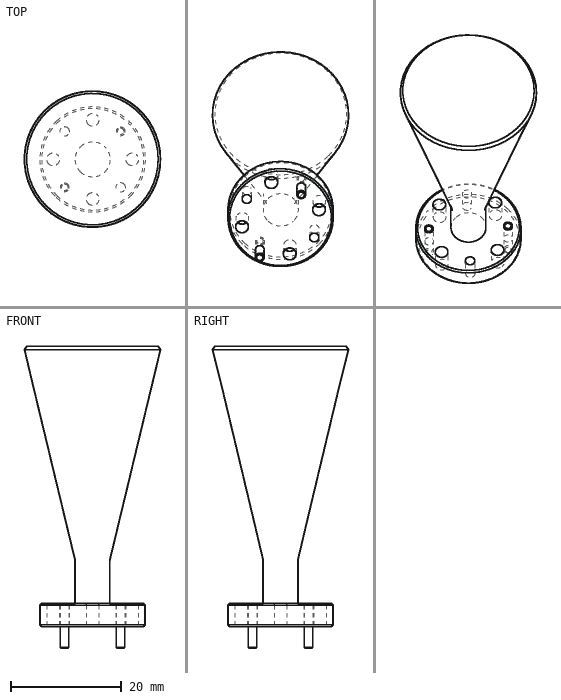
import cadquery as cq
import math

total_height = 54.65
horn_diameter = 24.65
flange_diameter = 19.1
neck_diameter = 6.35

pin_projection = 3.9
flange_thickness = 4.2
neck_length = 7.85
flange_top = pin_projection + flange_thickness
neck_top = flange_top + neck_length

flange_chamfer = 0.35
rim_chamfer_width = 0.45
rim_chamfer_height = 0.65
pin_chamfer = 0.2

pattern_radius = 7.15
bolt_hole_diameter = 2.3
bolt_hole_angles = (0, 90, 180, 270)
dowel_hole_diameter = 1.7
dowel_hole_angles = (135, 315)
pin_diameter = 1.6
pin_angles = (45, 225)


def pattern_points(angles):
    """Points on the pattern circle at the given angles in degrees."""
    return [
        (pattern_radius * math.cos(math.radians(a)), pattern_radius * math.sin(math.radians(a)))
        for a in angles
    ]


def flange_cutters(angles, diameter):
    """Cylinders through the flange thickness at the given pattern angles."""
    return (
        cq.Workplane("XY", origin=(0, 0, pin_projection))
        .pushPoints(pattern_points(angles))
        .circle(diameter / 2)
        .extrude(flange_thickness)
    )


def make_flange():
    """Round flange with chamfered rims."""
    return (
        cq.Workplane("XY", origin=(0, 0, pin_projection))
        .circle(flange_diameter / 2)
        .extrude(flange_thickness)
        .edges()
        .chamfer(flange_chamfer)
    )


def make_neck_and_horn():
    """Straight neck opening into a cone with a bevelled rim."""
    neck_radius = neck_diameter / 2
    horn_radius = horn_diameter / 2
    return (
        cq.Workplane("XZ")
        .moveTo(0, flange_top)
        .lineTo(neck_radius, flange_top)
        .lineTo(neck_radius, neck_top)
        .lineTo(horn_radius, total_height - rim_chamfer_height)
        .lineTo(horn_radius - rim_chamfer_width, total_height)
        .lineTo(0, total_height)
        .close()
        .revolve(360, (0, 0, 0), (0, 1, 0))
    )


def make_horn():
    """Flange, neck and cone in one piece, with bolt, dowel and pin holes."""
    horn = make_flange().union(make_neck_and_horn())
    horn = horn.cut(flange_cutters(bolt_hole_angles, bolt_hole_diameter))
    horn = horn.cut(flange_cutters(dowel_hole_angles, dowel_hole_diameter))
    return horn.cut(flange_cutters(pin_angles, pin_diameter))


def make_pin(x, y):
    """Locating pin, chamfered at both ends, flush with the top of the flange."""
    return (
        cq.Workplane("XY", origin=(x, y, 0))
        .circle(pin_diameter / 2)
        .extrude(flange_top)
        .edges()
        .chamfer(pin_chamfer)
    )


horn = make_horn()
pins = [make_pin(x, y) for x, y in pattern_points(pin_angles)]

result = cq.Compound.makeCompound([horn.val(), *[pin.val() for pin in pins]])